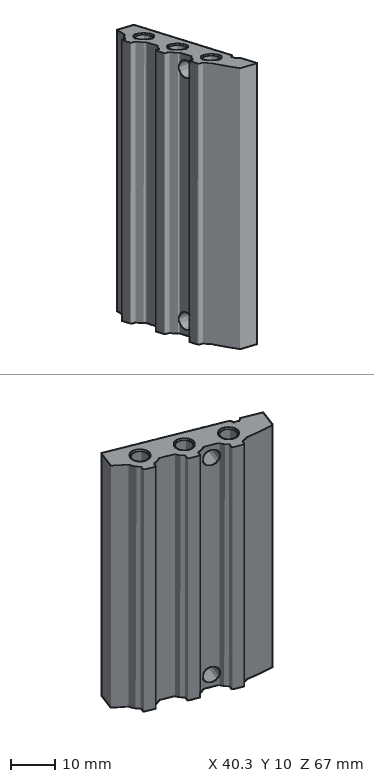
import cadquery as cq
import math

width = 40.3
depth = 10.0
length = 67.0
back_y = depth / 2
front_y = -depth / 2

bore_pitch = 11.0
middle_bore_x = -1.4
bore_depth_from_back = 4.4
bore_y = back_y - bore_depth_from_back
bore_diameter = 4.15
bore_chamfer = 0.35
wall_radius = 4.5
rib_width = 3.2
rib_edge_fillet = 0.35
bore_xs = [middle_bore_x + i * bore_pitch for i in (-1, 0, 1)]

plate_thickness = 7.2
edge_thickness = 5.5
bow_radius = 60.3

corner_fillet = 0.2
rib_root_fillet = 0.2
wall_foot_fillet = 0.4

groove_x = 13.1
groove_depth = 0.9
groove_top_width = 2.55
groove_bottom_width = 1.4

mount_diameter = 4.2
mount_inset = 3.5
mount_x = middle_bore_x + bore_pitch / 2


def box(x_min, x_max, y_min, y_max):
    """Full-length block between the given X and Y limits."""
    return (
        cq.Workplane("XY")
        .center((x_min + x_max) / 2, (y_min + y_max) / 2)
        .rect(x_max - x_min, y_max - y_min)
        .extrude(length)
    )


def bowed_plate():
    """Plate with a bowed front that is cut flat between the outer bores."""
    half_width = width / 2
    edge_y = back_y - edge_thickness
    bow_center_y = edge_y + math.sqrt(bow_radius**2 - half_width**2)
    plate = (
        cq.Workplane("XY")
        .moveTo(-half_width, back_y)
        .lineTo(-half_width, edge_y)
        .threePointArc((0, bow_center_y - bow_radius), (half_width, edge_y))
        .lineTo(half_width, back_y)
        .close()
        .extrude(length)
    )
    valleys = box(bore_xs[0], bore_xs[-1], 2 * front_y, back_y - plate_thickness)
    return plate.cut(valleys)


def bore_wall(x):
    """Round wall around one bore, with its rib reaching the front."""
    wall = cq.Workplane("XY").center(x, bore_y).circle(wall_radius).extrude(length)
    rib = box(x - rib_width / 2, x + rib_width / 2, front_y, bore_y)
    rib = rib.faces("<Y").edges("|Z").fillet(rib_edge_fillet)
    wall_limit = box(x - wall_radius, x + wall_radius, front_y, back_y)
    return wall.intersect(wall_limit).union(rib)


def bores():
    """Through bores, chamfered at both ends."""
    bore_points = [(x, bore_y) for x in bore_xs]
    mouth_radius = bore_diameter / 2 + bore_chamfer
    cutter = cq.Workplane("XY").pushPoints(bore_points).circle(bore_diameter / 2).extrude(length)
    for x, y in bore_points:
        for end_z, inward in ((0, 1), (length, -1)):
            mouth = cq.Solid.makeCone(
                mouth_radius,
                bore_diameter / 2,
                bore_chamfer,
                cq.Vector(x, y, end_z),
                cq.Vector(0, 0, inward),
            )
            cutter = cutter.union(cq.Workplane(mouth))
    return cutter


def back_groove():
    """Full-length tapered groove in the back face."""
    return (
        cq.Workplane("XY")
        .polyline([
            (groove_x - groove_top_width / 2, back_y),
            (groove_x + groove_top_width / 2, back_y),
            (groove_x + groove_bottom_width / 2, back_y - groove_depth),
            (groove_x - groove_bottom_width / 2, back_y - groove_depth),
        ])
        .close()
        .extrude(length)
    )


def mounting_holes():
    """Plain holes from front to back, one near each end."""
    return (
        cq.Workplane("XZ", origin=(0, back_y, 0))
        .pushPoints([(mount_x, mount_inset), (mount_x, length - mount_inset)])
        .circle(mount_diameter / 2)
        .extrude(depth)
    )


def round_lengthwise_edges(body):
    """Round the outer corners, the rib roots and the feet of the bore walls."""
    tolerance = 0.1
    root_y = bore_y - math.sqrt(wall_radius**2 - (rib_width / 2) ** 2)

    def is_outer_corner(edge):
        return abs(edge.Center().x) > width / 2 - tolerance

    def is_rib_root(edge):
        return abs(edge.Center().y - root_y) < tolerance

    def is_wall_foot(edge):
        return root_y + tolerance < edge.Center().y < bore_y and not is_outer_corner(edge)

    for belongs, radius in (
        (is_outer_corner, corner_fillet),
        (is_wall_foot, wall_foot_fillet),
        (is_rib_root, rib_root_fillet),
    ):
        body = body.edges("|Z").filter(belongs).fillet(radius)
    return body


body = bowed_plate()
for bore_x in bore_xs:
    body = body.union(bore_wall(bore_x))
body = round_lengthwise_edges(body)

result = body.cut(bores()).cut(back_groove()).cut(mounting_holes())